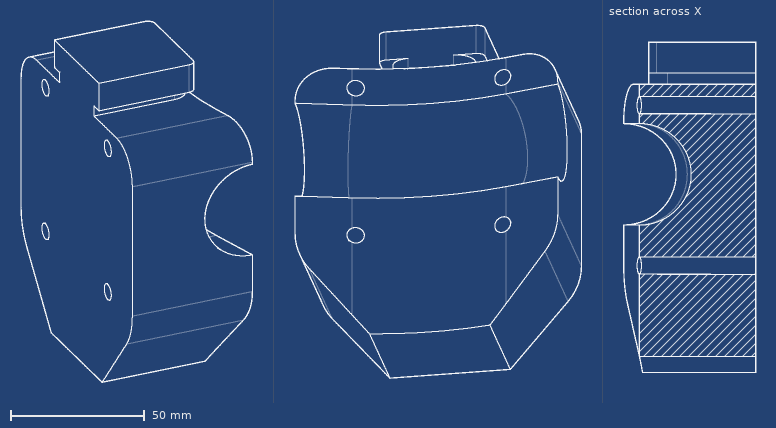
import cadquery as cq
import math

body_width = 100.0
body_depth = 49.5
body_height = 108.0
half_width = body_width / 2
bottom_half_width = 22.9
shoulder_height = 32.0
top_corner_radius = 14.0
shoulder_radius = 21.6

rear_slope = math.radians(15)
rear_center_depth = 40.1
channel_radius = 18.9
channel_height = 74.2
overrun = 24.7

total_height = 123.7
head_width = 40.1
head_depth = 40.1
head_thickness = 11.5
head_corner_radius = 3.0
neck_width = 31.2
neck_corner_radius = 6.9

hole_diameter = 6.3
hole_half_spacing = 28.0
hole_heights = (40.1, 100.1)

rear_apex_depth = body_depth - half_width * math.tan(rear_slope)
blend_radius = (rear_center_depth - rear_apex_depth) / (1 / math.cos(rear_slope) - 1)
blend_half_width = blend_radius * math.sin(rear_slope)


def slope_point(x):
    """Point on the sloped rear face at position x."""
    return (x, rear_apex_depth + abs(x) * math.tan(rear_slope))


def rear_curve(height):
    """Rear face line at the given height, running past both sides."""
    end = half_width + overrun
    return (
        cq.Workplane("XY", origin=(0, 0, height))
        .moveTo(*slope_point(-end))
        .lineTo(*slope_point(-blend_half_width))
        .threePointArc((0, rear_center_depth), slope_point(blend_half_width))
        .lineTo(*slope_point(end))
    )


def body_block():
    block = (
        cq.Workplane("XZ")
        .polyline([
            (-bottom_half_width, 0),
            (bottom_half_width, 0),
            (half_width, shoulder_height),
            (half_width, body_height),
            (-half_width, body_height),
            (-half_width, shoulder_height),
        ])
        .close()
        .extrude(-body_depth)
    )
    block = block.edges("|Y and >Z").fillet(top_corner_radius)
    pick_margin = 1.2
    shoulders = cq.selectors.BoxSelector(
        (-body_width, 0, shoulder_height - pick_margin),
        (body_width, body_depth, shoulder_height + pick_margin),
    )
    return block.edges("|Y").edges(shoulders).fillet(shoulder_radius)


def rear_hollow():
    end = half_width + overrun
    back = body_depth + overrun
    return rear_curve(0).lineTo(end, back).lineTo(-end, back).close().extrude(body_height)


def rear_channel():
    """Round channel that follows the concave rear face."""
    start_x, start_y = slope_point(-half_width - overrun)
    section_plane = cq.Plane(
        origin=(start_x, start_y, channel_height),
        xDir=(0, 0, 1),
        normal=(math.cos(rear_slope), -math.sin(rear_slope), 0),
    )
    return cq.Workplane(section_plane).circle(channel_radius).sweep(rear_curve(channel_height))


def rounded_block(width, corner_radius, bottom, top):
    """Block on the mounting face with its two rear upright edges rounded."""
    return (
        cq.Workplane("XY", origin=(0, 0, bottom))
        .box(width, head_depth, top - bottom, centered=(True, False, False))
        .edges("|Z and >Y")
        .fillet(corner_radius)
    )


def mounting_holes():
    centers = [(x, z) for x in (-hole_half_spacing, hole_half_spacing) for z in hole_heights]
    return cq.Workplane("XZ").pushPoints(centers).circle(hole_diameter / 2).extrude(-body_depth)


head_bottom = total_height - head_thickness
body = body_block().cut(rear_hollow()).cut(rear_channel()).cut(mounting_holes())
neck = rounded_block(neck_width, neck_corner_radius, body_height, head_bottom)
head = rounded_block(head_width, head_corner_radius, head_bottom, total_height)
result = body.union(neck).union(head)